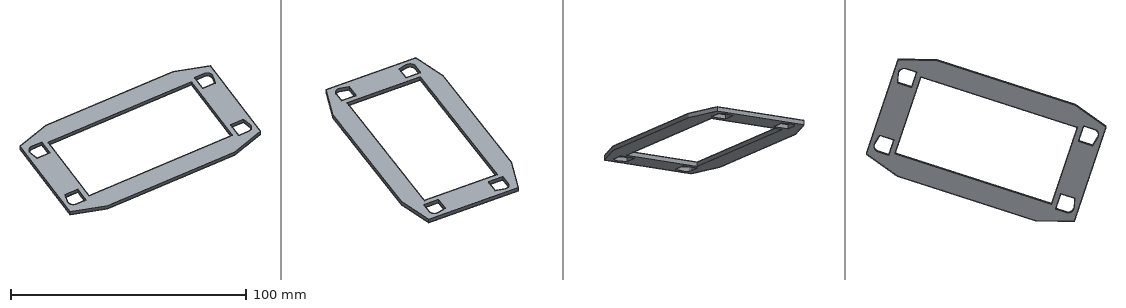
import cadquery as cq
import math

width = 53.0
length = 93.1
thickness = 2.0
corner_cut_x = 4.9
corner_cut_y = 15.5

side_rail = 8.9
end_rail = 11.55
window_width = width - 2 * side_rail
window_length = length - 2 * end_rail

hole_inner_x = 12.0
hole_outer_x = 19.0
window_to_hole = 2.3
hole_base_y = window_length / 2 + window_to_hole
hole_inner_top_y = 43.6
hole_slope = math.radians(14)
hole_radius = 2.5


def make_plate():
    """Flat plate with its four corners cut off at a slant."""
    half_x = width / 2
    half_y = length / 2
    shoulder_x = half_x - corner_cut_x
    shoulder_y = half_y - corner_cut_y
    outline = [
        (shoulder_x, half_y),
        (half_x, shoulder_y),
        (half_x, -shoulder_y),
        (shoulder_x, -half_y),
        (-shoulder_x, -half_y),
        (-half_x, -shoulder_y),
        (-half_x, shoulder_y),
        (-shoulder_x, half_y),
    ]
    return cq.Workplane("XY").polyline(outline).close().extrude(thickness)


def make_corner_hole():
    """Cutter in the +X +Y corner: sloped end, outer corner rounded tangentially."""
    slope_rise = (hole_outer_x - hole_inner_x) * math.tan(hole_slope)
    sharp_corner_y = hole_inner_top_y + slope_rise
    return (
        cq.Workplane("XY")
        .moveTo(hole_inner_x, hole_base_y)
        .lineTo(hole_outer_x, hole_base_y)
        .lineTo(hole_outer_x, sharp_corner_y)
        .lineTo(hole_inner_x, hole_inner_top_y)
        .close()
        .extrude(thickness)
        .edges("|Z and >X and >Y")
        .fillet(hole_radius)
    )


window = cq.Workplane("XY").rect(window_width, window_length).extrude(thickness)
result = make_plate().cut(window)

right_hole = make_corner_hole()
left_hole = right_hole.mirror("YZ")
for hole in (right_hole, left_hole):
    result = result.cut(hole).cut(hole.mirror("XZ"))